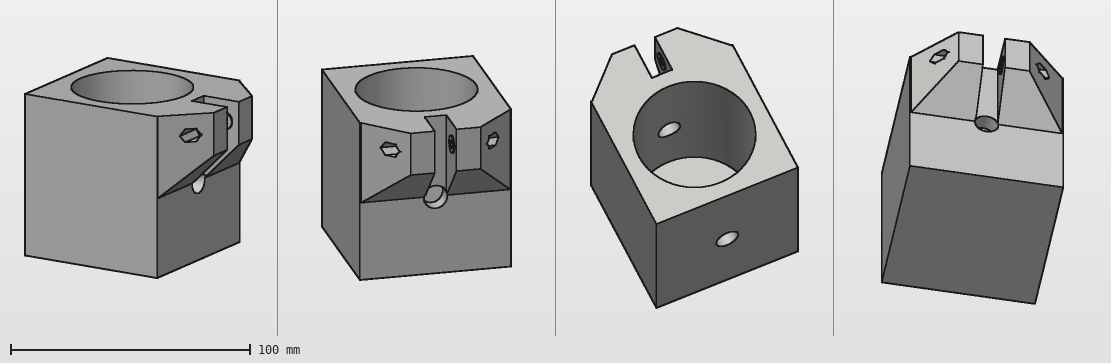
import cadquery as cq

length = 82.0
side = 65.0
height = 70.0

bore_diameter = 51.0
floor_thickness = (side - bore_diameter) / 2

cross_diameter = 10.0
cross_z = 34.0

ear_reach = length - side
ear_step = 0.5
ear_tip_height = 18.6
slot_width = 9.35
slot_overcut = 0.3

screw_x = 74.95
screw_drop = 9.2
screw_z = height - screw_drop
screw_diameter = 3.3
pad_diameter = 7.55
pad_height = 0.5
nut_across_corners = 6.6
nut_floor_y = 12.3


def y_prism(sketch, start, depth):
    """Extrude a sketch, centred on the screw axis, from y = start towards +Y."""
    return sketch.extrude(depth).rotate((0, 0, 0), (1, 0, 0), -90).translate((screw_x, start, screw_z))


def make_ears():
    root_half_width = side / 2 - ear_step
    tip_half_width = root_half_width - ear_reach
    plan = (
        cq.Workplane("XY")
        .moveTo(side, -root_half_width)
        .lineTo(length, -tip_half_width)
        .lineTo(length, tip_half_width)
        .lineTo(side, root_half_width)
        .close()
        .extrude(height)
    )
    profile = (
        cq.Workplane("XZ")
        .moveTo(side, height)
        .lineTo(length, height)
        .lineTo(length, height - ear_tip_height)
        .lineTo(side, height - ear_tip_height - ear_reach)
        .close()
        .extrude(side / 2, both=True)
    )
    return plan.intersect(profile)


block = cq.Workplane("XY").box(side, side, height, centered=(False, True, False))
body = block.union(make_ears())

slot_height = ear_tip_height + ear_reach
slot = (
    cq.Workplane("XY")
    .box(ear_reach + slot_overcut, slot_width, slot_height, centered=(False, True, False))
    .translate((side - slot_overcut, 0, height - slot_height))
)
body = body.cut(slot)

bore = (
    cq.Workplane("XY", origin=(side / 2, 0, floor_thickness))
    .circle(bore_diameter / 2)
    .extrude(height - floor_thickness)
)
body = body.cut(bore)

body = body.cut(cq.Workplane("YZ", origin=(0, 0, cross_z)).circle(cross_diameter / 2).extrude(length))

pad_face_y = slot_width / 2 - pad_height
for pad_start in (pad_face_y, -slot_width / 2):
    body = body.union(y_prism(cq.Workplane("XY").circle(pad_diameter / 2), pad_start, pad_height))

pocket_depth = side / 2 - nut_floor_y
for pocket_start in (nut_floor_y, -side / 2):
    body = body.cut(y_prism(cq.Workplane("XY").polygon(6, nut_across_corners), pocket_start, pocket_depth))

result = body.cut(y_prism(cq.Workplane("XY").circle(screw_diameter / 2), -side / 2, side))